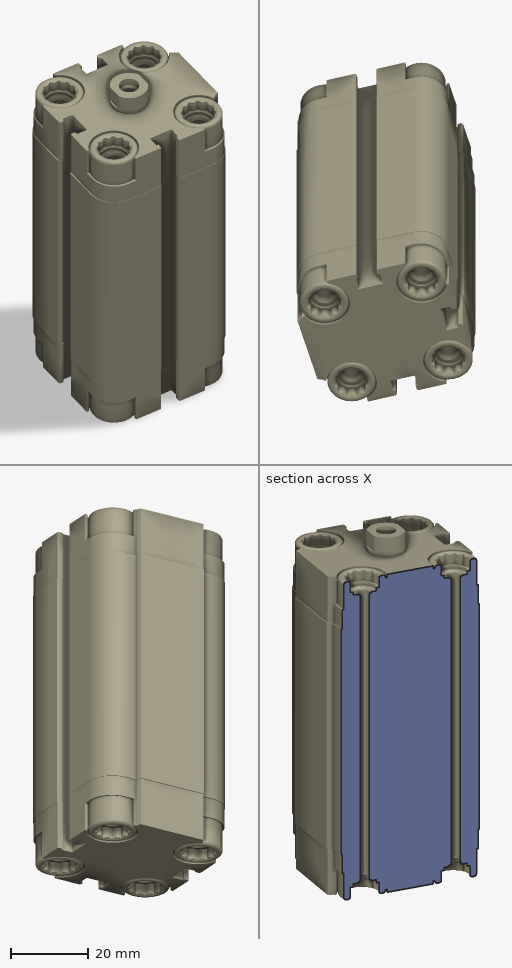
import cadquery as cq
import math

total_height = 95.0
rod_projection = 5.5
body_height = total_height - rod_projection
body_width = 40.0
corner_radius = 7.0
cap_height = 13.0
cap_inset_x = 0.1
cap_inset_y = 0.3

rib_height = 1.5
rib_base_width = 20.3
rib_top_width = 19.0

slot_depth = 4.8
slot_lip = 1.5
side_neck_width = 5.4
side_groove_width = 6.65
side_lip_chamfer = 0.3
front_neck_width = 5.1
front_groove_width = 7.0
front_lip_fillet = 0.7
front_floor_fillet = 0.5

pad_offset = 13.0
pad_diameter = 12.5
pad_fillet = 0.9
pad_groove_diameter = 13.1
relief_height = 7.6
relief_start = 10.5

socket_mouth_diameter = 10.0
socket_flats = 8.1
socket_mouth_depth = 0.6
socket_depth = 3.2
recess_diameter = 7.2
recess_depth = 4.1
countersink_diameter = 5.3
through_diameter = 4.2
countersink_depth = (countersink_diameter - through_diameter) / 2

rod_diameter = 10.0
rod_flats = 8.9
rod_flat_length = 4.3
rod_length = rod_projection + cap_height
thread_diameter = 4.2
thread_mouth_diameter = 5.3
thread_mouth_depth = 2.1
thread_depth = 9.5
drill_point_angle = 118.0


def slot_cutter(neck_width, groove_width, face_distance, base_z, height):
    """Slot cut into a face that lies at the given distance toward -Y."""
    neck = (
        cq.Workplane("XY", origin=(0, -face_distance, base_z))
        .rect(neck_width, 2 * slot_lip)
        .extrude(height)
    )
    floor_distance = body_width / 2 - slot_depth
    groove_depth = face_distance - slot_lip - floor_distance
    groove = (
        cq.Workplane("XY", origin=(0, -floor_distance - groove_depth / 2, base_z))
        .rect(groove_width, groove_depth)
        .extrude(height)
    )
    return neck.union(groove)


def slot_edges(width, near_y, far_y):
    """Selector for the edges of a slot of the given width between two Y positions."""
    margin = 0.1
    return cq.selectors.BoxSelector(
        (-width / 2 - margin, near_y - margin, 0),
        (width / 2 + margin, far_y + margin, total_height),
    )


def rib(half_y, base_z, height):
    """Flat rib with sloped flanks, reaching from the middle of the body past its +Y face."""
    base = rib_base_width / 2
    top = rib_top_width / 2
    outline = [
        (-top, 0),
        (-base, half_y),
        (-top, half_y + rib_height),
        (top, half_y + rib_height),
        (base, half_y),
        (top, 0),
    ]
    return cq.Workplane("XY", origin=(0, 0, base_z)).polyline(outline).close().extrude(height)


def body_section(inset_x, inset_y, base_z, height):
    """One length of the housing profile: rounded square, rib and three slots."""
    half_x = body_width / 2 - inset_x
    half_y = body_width / 2 - inset_y
    section = (
        cq.Workplane("XY", origin=(0, 0, base_z))
        .rect(2 * half_x, 2 * half_y)
        .extrude(height)
        .edges("|Z")
        .fillet(corner_radius - inset_y)
    )
    section = section.union(rib(half_y, base_z, height))

    section = section.cut(slot_cutter(front_neck_width, front_groove_width, half_y, base_z, height))
    front_lips = slot_edges(front_neck_width, -half_y, -half_y + slot_lip)
    section = section.edges("|Z").edges(front_lips).fillet(front_lip_fillet)
    floor_y = slot_depth - body_width / 2
    floor_corners = slot_edges(front_groove_width, floor_y, floor_y)
    section = section.edges("|Z").edges(floor_corners).fillet(front_floor_fillet)

    side_slot = slot_cutter(side_neck_width, side_groove_width, half_x, base_z, height)
    side_lips = slot_edges(side_neck_width, -half_x, -half_x)
    for turn in (-90, 90):
        section = section.rotate((0, 0, 0), (0, 0, 1), -turn)
        section = section.cut(side_slot)
        section = section.edges("|Z").edges(side_lips).chamfer(side_lip_chamfer)
        section = section.rotate((0, 0, 0), (0, 0, 1), turn)
    return section


def corner_relief():
    """Material removed around the pad of the +X +Y corner of the top cap."""
    base_z = body_height - relief_height
    center = (pad_offset, pad_offset, base_z)
    block_size = body_width / 2 - relief_start + rib_height
    block = (
        cq.Workplane("XY", origin=(relief_start, relief_start, base_z))
        .rect(block_size, block_size, centered=False)
        .extrude(relief_height)
    )
    pad = (
        cq.Workplane("XY", origin=center)
        .circle(pad_diameter / 2)
        .extrude(relief_height)
        .faces(">Z")
        .edges()
        .fillet(pad_fillet)
    )
    groove = (
        cq.Workplane("XY", origin=(pad_offset, pad_offset, body_height))
        .circle(pad_groove_diameter / 2)
        .extrude(-pad_fillet)
    )
    return block.union(groove).cut(pad)


def pad_socket():
    """Twelve-point socket and stepped hole in the +X +Y pad, down to the middle of the body."""
    axis = (pad_offset, pad_offset)
    top = cq.Workplane("XY", origin=(*axis, body_height))
    hexagon_diameter = socket_flats / math.cos(math.pi / 6)
    hexagon = top.polygon(6, hexagon_diameter).extrude(-socket_depth)
    turned_hexagon = hexagon.rotate((*axis, 0), (*axis, 1), 30)

    steps = [
        (0, 0),
        (socket_mouth_diameter / 2, 0),
        (socket_flats / 2, -socket_mouth_depth),
        (recess_diameter / 2, -socket_mouth_depth),
        (recess_diameter / 2, -recess_depth),
        (countersink_diameter / 2, -recess_depth),
        (through_diameter / 2, -recess_depth - countersink_depth),
        (through_diameter / 2, -body_height / 2),
        (0, -body_height / 2),
    ]
    round_steps = (
        cq.Workplane("XZ", origin=(pad_offset, pad_offset, body_height))
        .polyline(steps)
        .close()
        .revolve(360, (0, 0, 0), (0, 1, 0))
    )
    return hexagon.union(turned_hexagon).union(round_steps)


def corner_copies(cutter):
    """The +X +Y top cutter repeated at all four corners of both caps."""
    right = cutter.union(cutter.mirror("XZ"))
    top = right.union(right.mirror("YZ"))
    bottom = top.mirror("XY", (0, 0, body_height / 2))
    return top, bottom


def make_housing():
    tube_length = body_height - 2 * cap_height
    body = body_section(0, 0, cap_height, tube_length)
    for cap_base in (0, body_height - cap_height):
        body = body.union(body_section(cap_inset_x, cap_inset_y, cap_base, cap_height))

    for cutter in (*corner_copies(corner_relief()), *corner_copies(pad_socket())):
        body = body.cut(cutter)

    rod_bore = (
        cq.Workplane("XY", origin=(0, 0, body_height - cap_height))
        .circle(rod_diameter / 2)
        .extrude(cap_height)
    )
    return body.cut(rod_bore)


def make_piston_rod():
    """Rod seated in the top cap, with two wrench flats and a threaded end hole."""
    rod = (
        cq.Workplane("XY", origin=(0, 0, total_height))
        .circle(rod_diameter / 2)
        .extrude(-rod_length)
    )
    flats = (
        cq.Workplane("XY", origin=(0, 0, total_height))
        .rect(2 * rod_diameter, 2 * rod_diameter)
        .rect(2 * rod_diameter, rod_flats)
        .extrude(-rod_flat_length)
    )
    thread_radius = thread_diameter / 2
    mouth_radius = thread_mouth_diameter / 2
    point_length = thread_radius / math.tan(math.radians(drill_point_angle / 2))
    hole_section = [
        (0, 0),
        (mouth_radius, 0),
        (mouth_radius, -thread_mouth_depth),
        (thread_radius, -thread_mouth_depth - (mouth_radius - thread_radius)),
        (thread_radius, -thread_depth),
        (0, -thread_depth - point_length),
    ]
    end_hole = (
        cq.Workplane("XZ", origin=(0, 0, total_height))
        .polyline(hole_section)
        .close()
        .revolve(360, (0, 0, 0), (0, 1, 0))
    )
    return rod.cut(flats).cut(end_hole)


housing = make_housing()
piston_rod = make_piston_rod()
result = cq.Compound.makeCompound([housing.val(), piston_rod.val()])